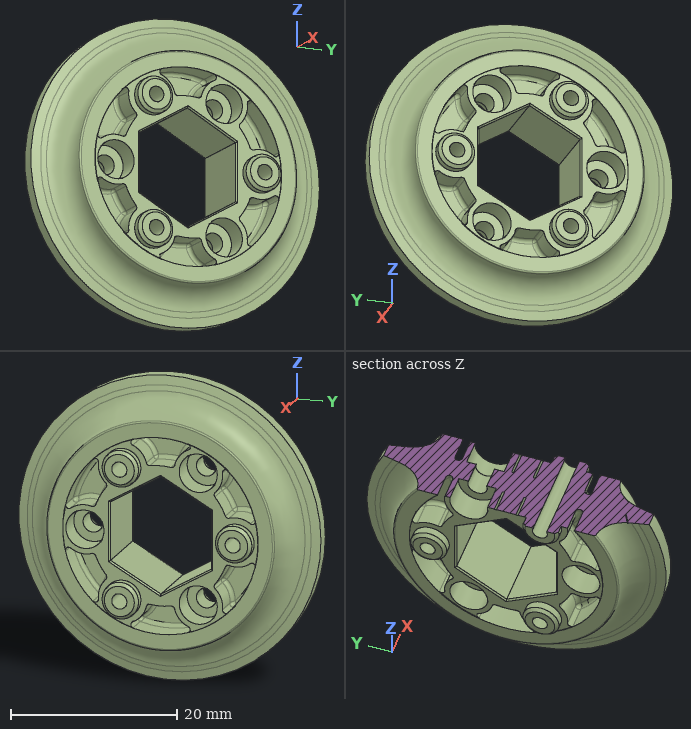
import cadquery as cq
import math

body_width = 9.525
rim_radius = 19.05
rim_half_width = 0.92
flank_radius = 17.9
flank_half_width = 1.18
groove_top_radius = 17.2
groove_top_half_width = 1.37
groove_mid_radius = 15.53
groove_mid_half_width = 2.15
hub_radius = 14.34
hub_edge_fillet = 0.2

recess_radius = 12.3
recess_depth = 0.1

hex_across_flats = 12.7
hex_sides = 6
hex_chamfer = 0.2

bolt_circle_radius = 9.525
overall_width = 12.03
boss_diameter = 4.58
boss_chamfer = 0.4
boss_hole_diameter = 1.9
boss_angles = (0, 120, 240)
socket_diameter = 4.8
socket_depth = 3.2
socket_hole_diameter = 2.46
socket_angles = (60, 180, 300)

pocket_count = 6
pocket_inner_radius = 8.78
pocket_clear_radius = 3.08
pocket_depth = 3.4
pocket_floor_fillet = 0.5
pocket_corner_fillet = 0.4

half_body = body_width / 2
half_pitch = 180 / pocket_count
half_overall = overall_width / 2
recessed_face = half_body - recess_depth
SIDES = (-1, 1)


def face_plane(x):
    """Plane at the given X, with local x along +Y and local y along +Z."""
    return cq.Workplane("YZ", origin=(x, 0, 0))


def polar(radius, angle):
    """Local (y, z) position at an angle measured from +Y toward +Z."""
    return (radius * math.cos(math.radians(angle)), radius * math.sin(math.radians(angle)))


def positions(angles):
    """Local (y, z) positions on the bolt circle."""
    return [polar(bolt_circle_radius, angle) for angle in angles]


def on_side(feature, side):
    """Keep a feature made on the +X face, or mirror it to the -X face."""
    return feature if side > 0 else feature.mirror("YZ")


def make_body():
    profile = (
        cq.Workplane("XY")
        .moveTo(-half_body, 0)
        .lineTo(-half_body, hub_radius)
        .threePointArc(
            (-groove_mid_half_width, groove_mid_radius),
            (-groove_top_half_width, groove_top_radius),
        )
        .lineTo(-flank_half_width, flank_radius)
        .lineTo(-rim_half_width, rim_radius)
        .lineTo(rim_half_width, rim_radius)
        .lineTo(flank_half_width, flank_radius)
        .lineTo(groove_top_half_width, groove_top_radius)
        .threePointArc(
            (groove_mid_half_width, groove_mid_radius),
            (half_body, hub_radius),
        )
        .lineTo(half_body, 0)
        .close()
    )
    body = profile.revolve(360, (0, 0, 0), (1, 0, 0))
    return body.faces("<X or >X").edges().fillet(hub_edge_fillet)


def make_recess(side):
    recess = face_plane(recessed_face).circle(recess_radius).extrude(recess_depth)
    return on_side(recess, side)


def make_hex_bore():
    half_corner = math.radians(180 / hex_sides)
    corner_diameter = hex_across_flats / math.cos(half_corner)
    mouth_diameter = (hex_across_flats + 2 * hex_chamfer) / math.cos(half_corner)
    bore = face_plane(-recessed_face).polygon(hex_sides, corner_diameter).extrude(2 * recessed_face)
    for side in SIDES:
        mouth = (
            face_plane(side * recessed_face)
            .polygon(hex_sides, mouth_diameter)
            .workplane(offset=-side * hex_chamfer)
            .polygon(hex_sides, corner_diameter)
            .loft(ruled=True)
        )
        bore = bore.union(mouth)
    return bore.rotate((0, 0, 0), (1, 0, 0), 180 / hex_sides)


def make_pocket(side):
    """Pocket on the +Y axis: a ring sector with round clearances for the boss and socket beside it."""
    floor_plane = face_plane(recessed_face - pocket_depth)
    ring = floor_plane.circle(recess_radius).circle(pocket_inner_radius).extrude(pocket_depth)
    clearances = (
        floor_plane
        .pushPoints([polar(bolt_circle_radius, angle) for angle in (-half_pitch, half_pitch)])
        .circle(pocket_clear_radius)
        .extrude(pocket_depth)
    )
    sector_corner = recess_radius / math.cos(math.radians(half_pitch))
    sector = (
        floor_plane
        .polyline([(0, 0), polar(sector_corner, -half_pitch), polar(sector_corner, half_pitch)])
        .close()
        .extrude(pocket_depth)
    )
    pocket = ring.intersect(sector).cut(clearances)
    middle = (recessed_face, (recess_radius + pocket_inner_radius) / 2, 0)
    pocket = pocket.solids(cq.selectors.NearestToPointSelector(middle))
    pocket = cq.Workplane(pocket.val())
    pocket = pocket.edges("|X").fillet(pocket_corner_fillet)
    pocket = pocket.faces("<X").edges().fillet(pocket_floor_fillet)
    return on_side(pocket, side)


def make_boss(side, position):
    boss = (
        face_plane(recessed_face)
        .center(*position)
        .circle(boss_diameter / 2)
        .extrude(half_overall - recessed_face)
        .faces(">X")
        .chamfer(boss_chamfer)
    )
    return on_side(boss, side)


def make_through_holes(angles, diameter):
    return (
        face_plane(-half_overall)
        .pushPoints(positions(angles))
        .circle(diameter / 2)
        .extrude(overall_width)
    )


def make_sockets(side):
    sockets = (
        face_plane(recessed_face - socket_depth)
        .pushPoints(positions(socket_angles))
        .circle(socket_diameter / 2)
        .extrude(socket_depth)
    )
    return on_side(sockets, side)


result = make_body()
result = result.cut(make_hex_bore())

for side in SIDES:
    result = result.cut(make_recess(side))
    pocket = make_pocket(side)
    for index in range(pocket_count):
        angle = half_pitch * (2 * index + 1)
        result = result.cut(pocket.rotate((0, 0, 0), (1, 0, 0), angle))
    result = result.cut(make_sockets(side))
    for position in positions(boss_angles):
        result = result.union(make_boss(side, position))

result = result.cut(make_through_holes(boss_angles, boss_hole_diameter))
result = result.cut(make_through_holes(socket_angles, socket_hole_diameter))